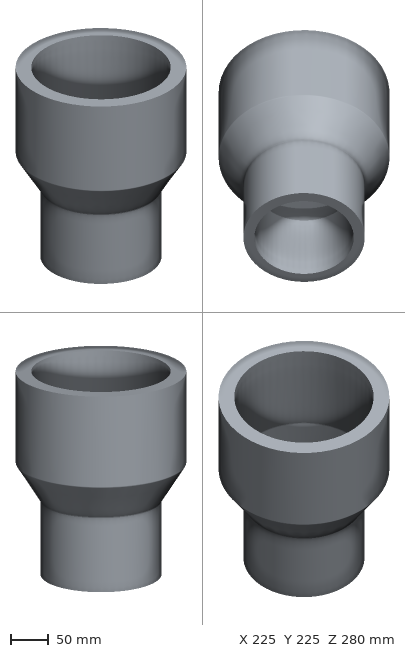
import cadquery as cq

total_height = 280
socket_diameter = 225.0
socket_bore = 183.7
spigot_diameter = 160.0
spigot_bore = 131.0

cone_bottom = 103.0
cone_top = 154.5

bend_radius = 2.8


def stepped_body(lower_diameter, upper_diameter):
    """Solid of two coaxial cylinders joined by the conical transition, with rounded bends."""
    lower_radius = lower_diameter / 2
    upper_radius = upper_diameter / 2
    body = (
        cq.Workplane("XZ")
        .moveTo(0, 0)
        .lineTo(lower_radius, 0)
        .lineTo(lower_radius, cone_bottom)
        .lineTo(upper_radius, cone_top)
        .lineTo(upper_radius, total_height)
        .lineTo(0, total_height)
        .close()
        .revolve(360, (0, 0, 0), (0, 1, 0))
    )
    bends = cq.selectors.BoxSelector(
        (-upper_radius, -upper_radius, cone_bottom - bend_radius),
        (upper_radius, upper_radius, cone_top + bend_radius),
    )
    bend_edges = body.edges("%CIRCLE").edges(bends)
    return bend_edges.fillet(bend_radius)


outside = stepped_body(spigot_diameter, socket_diameter)
passage = stepped_body(spigot_bore, socket_bore)
result = outside.cut(passage)